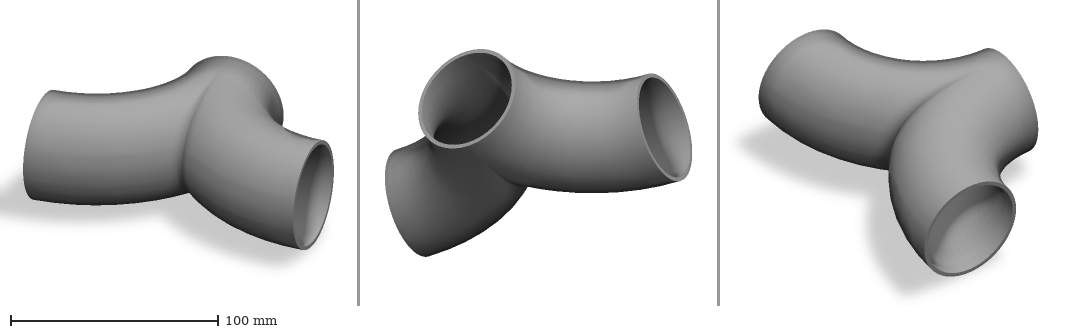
import cadquery as cq

bend_radius = 70.0
bend_angle = 90.0
outer_diameter = 54.0
wall_thickness = 2.0
seam_radius = 2.0

bore_diameter = outer_diameter - 2 * wall_thickness

flat_seam_length = 3.0
flat_seam_width = 4.0


def quarter_bend(diameter):
    """Solid bend from the common port (y = 0) to the branch port at x = bend_radius."""
    axis_start = (bend_radius, 0, 0)
    axis_end = (bend_radius, 1, 0)
    return cq.Workplane("XZ").circle(diameter / 2).revolve(bend_angle, axis_start, axis_end)


def twin_bend(diameter):
    """Two mirrored solid bends sharing one port, with the seam between them rounded."""
    bend = quarter_bend(diameter)
    bends = bend.union(bend.mirror("YZ"))

    flat_seam_block = (
        cq.Workplane("XY")
        .box(flat_seam_width, flat_seam_length, 2 * diameter)
        .translate((0, -flat_seam_length / 2, 0))
    )

    flat_stretch = bends.intersect(flat_seam_block)
    notched_bends = bends.cut(flat_seam_block)
    seam_region = cq.selectors.BoxSelector(
        (-flat_seam_width / 2, -2 * bend_radius, -diameter),
        (flat_seam_width / 2, -2 * flat_seam_length, diameter),
    )
    rounded_bends = notched_bends.edges(seam_region).fillet(seam_radius)
    return rounded_bends.union(flat_stretch).clean()


def hollow_twin_bend():
    """Bent pipe fork with the same rounded seam outside and inside."""
    return twin_bend(outer_diameter).cut(twin_bend(bore_diameter))


result = hollow_twin_bend()